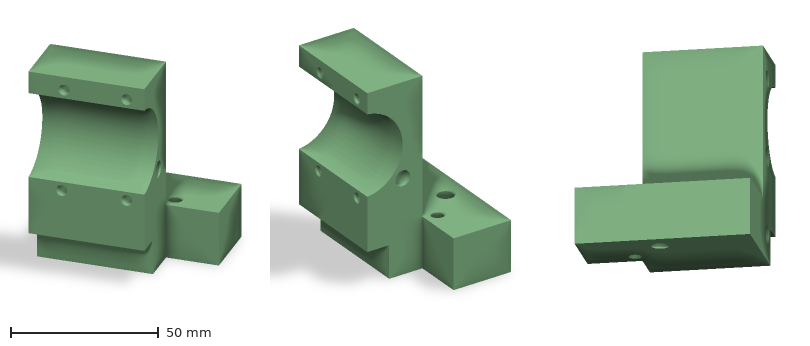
import cadquery as cq
import math

height = 74.0
column_width = 41.6
column_depth = 22.5

foot_length = 60.5
foot_height = 19.9
overall_depth = 46.0

step_depth = 8.95
step_height = 12.95

saddle_diameter = 31.8
saddle_floor = 14.4
saddle_z = 50.0

wide_countersink = 0.5
narrow_countersink = 0.33
drill_point_angle = 118.0

side_hole_y = 14.5
side_blind_diameter = 5.0
side_blind_depth = 15.0
side_blind_heights = (9.5, 64.5)
side_through_diameter = 6.0
side_through_z = 37.0

front_hole_diameter = 3.3
front_hole_depth = 10.0
front_hole_right_x = 35.2
front_upper_z = 69.05
front_upper_left_x = 12.7
front_lower_z = 30.9
front_lower_left_x = 11.9

foot_large_diameter = 6.0
foot_large_x = 32.55
foot_large_from_back = 8.0
foot_small_diameter = 4.5
foot_small_x = 43.1
foot_small_from_back = 18.35

INTO_X = (1, 0, 0)
INTO_Y = (0, 1, 0)
DOWN = (0, 0, -1)


def make_body():
    """Column with its front step, joined to the foot behind it."""
    column = (
        cq.Workplane("YZ")
        .moveTo(step_depth, 0)
        .lineTo(column_depth, 0)
        .lineTo(column_depth, height)
        .lineTo(0, height)
        .lineTo(0, step_height)
        .lineTo(step_depth, step_height)
        .close()
        .extrude(column_width)
    )
    foot_depth = overall_depth - column_depth
    foot = cq.Workplane("XY").box(foot_length, foot_depth, foot_height, centered=False)
    return column.union(foot.translate((0, column_depth, 0)))


def make_saddle():
    """Cylinder that hollows the front of the column."""
    radius = saddle_diameter / 2
    axis_y = saddle_floor - radius
    return cq.Workplane("YZ").center(axis_y, saddle_z).circle(radius).extrude(column_width)


def make_hole(entry, direction, diameter, depth, countersink, blind):
    """Countersunk hole from the entry point; a blind one ends in a drill point."""
    radius = diameter / 2
    profile = (
        cq.Workplane("XY")
        .moveTo(0, 0)
        .lineTo(radius + countersink, 0)
        .lineTo(radius, countersink)
        .lineTo(radius, depth)
    )
    if blind:
        point_length = radius / math.tan(math.radians(drill_point_angle / 2))
        profile = profile.lineTo(0, depth + point_length)
    else:
        profile = profile.lineTo(0, depth)
    tool = profile.close().revolve(360, (0, 0, 0), (0, 1, 0))

    across = (0, 0, 1) if direction == INTO_X else (1, 0, 0)
    normal = cq.Vector(*across).cross(cq.Vector(*direction))
    placement = cq.Plane(origin=entry, xDir=across, normal=normal.toTuple())
    return cq.Workplane(tool.val().located(placement.location))


result = make_body().cut(make_saddle())

for z in side_blind_heights:
    entry = (0, side_hole_y, z)
    hole = make_hole(entry, INTO_X, side_blind_diameter, side_blind_depth, wide_countersink, blind=True)
    result = result.cut(hole)
entry = (0, side_hole_y, side_through_z)
hole = make_hole(entry, INTO_X, side_through_diameter, column_width, wide_countersink, blind=False)
result = result.cut(hole)

for left_x, z in ((front_upper_left_x, front_upper_z), (front_lower_left_x, front_lower_z)):
    for x in (left_x, front_hole_right_x):
        entry = (x, 0, z)
        hole = make_hole(entry, INTO_Y, front_hole_diameter, front_hole_depth, narrow_countersink, blind=True)
        result = result.cut(hole)

for x, from_back, diameter in (
    (foot_large_x, foot_large_from_back, foot_large_diameter),
    (foot_small_x, foot_small_from_back, foot_small_diameter),
):
    entry = (x, overall_depth - from_back, foot_height)
    hole = make_hole(entry, DOWN, diameter, foot_height, wide_countersink, blind=False)
    result = result.cut(hole)